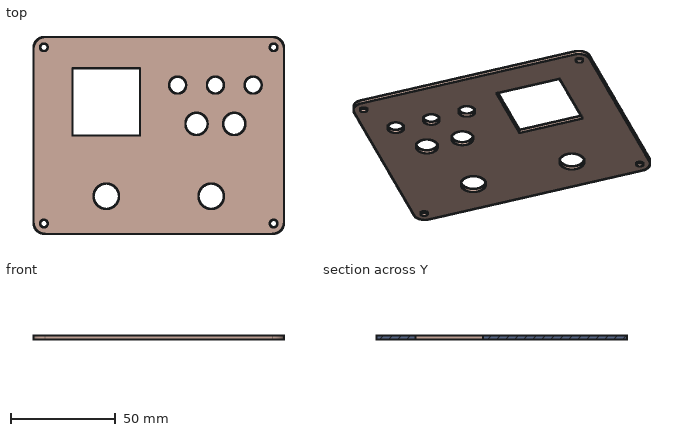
import cadquery as cq

length = 119.5
width = 94.0
thickness = 2.0
corner_radius = 5.5

mount_diameter = 3.5
mount_inset = 5.0

window_size = 32.0
window_center = (-25.0, 16.0)

small_diameter = 8.0
small_count = 3
small_center = (27.0, 24.0)

medium_diameter = 10.5
medium_count = 2
medium_center = (27.0, 5.5)

control_pitch = 18.0

large_diameter = 12.0
large_count = 2
large_center = (0.0, -29.0)
large_pitch = 50.0


def row_points(center, count, pitch):
    """Points evenly spaced along X, centred on the given point."""
    first_x = center[0] - pitch * (count - 1) / 2
    return [(first_x + i * pitch, center[1]) for i in range(count)]


def make_plate():
    """Flat plate with rounded corners, resting on Z = 0."""
    plate = cq.Workplane("XY").box(length, width, thickness, centered=(True, True, False))
    return plate.edges("|Z").fillet(corner_radius)


def round_cutters(points, diameter):
    """Cylinders through the full plate thickness at the given points."""
    return cq.Workplane("XY").pushPoints(points).circle(diameter / 2).extrude(thickness)


def mount_points():
    """Mounting hole centres, inset equally from both edges at each corner."""
    x = length / 2 - mount_inset
    y = width / 2 - mount_inset
    return [(sx * x, sy * y) for sx in (-1, 1) for sy in (-1, 1)]


def window_cutter():
    """Square block through the plate for the display window."""
    return cq.Workplane("XY").center(*window_center).rect(window_size, window_size).extrude(thickness)


result = make_plate()
result = result.cut(window_cutter())
result = result.cut(round_cutters(mount_points(), mount_diameter))
result = result.cut(round_cutters(row_points(small_center, small_count, control_pitch), small_diameter))
result = result.cut(round_cutters(row_points(medium_center, medium_count, control_pitch), medium_diameter))
result = result.cut(round_cutters(row_points(large_center, large_count, large_pitch), large_diameter))